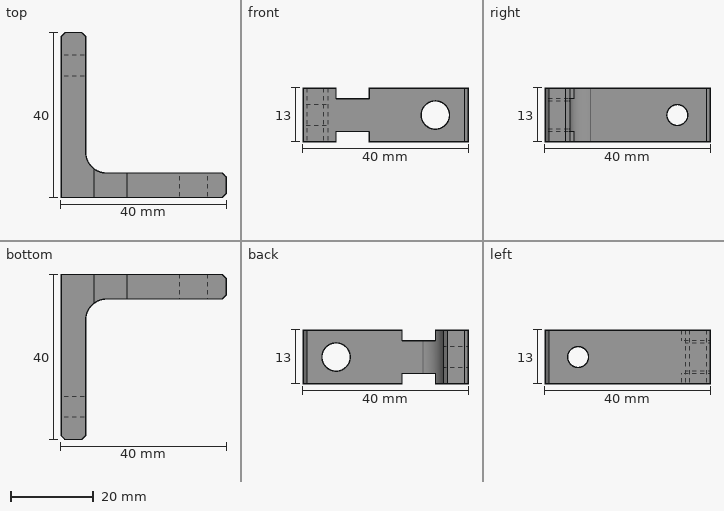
import cadquery as cq

leg_length = 40.0
leg_thickness = 6.0
height = 13.0
inner_radius = 5.0
end_chamfer = 1.0

waist_start = 8.0
waist_length = 8.0
waist_height = 8.0

hole_position = 0.8 * leg_length
x_leg_hole_diameter = 6.8
y_leg_hole_diameter = 5.0

mid_height = height / 2


def make_angle():
    """L-shaped body with its outer corner on the Z axis."""
    body = (
        cq.Workplane("XY")
        .polyline([
            (0, 0),
            (leg_length, 0),
            (leg_length, leg_thickness),
            (leg_thickness, leg_thickness),
            (leg_thickness, leg_length),
            (0, leg_length),
        ])
        .close()
        .extrude(height)
    )
    inner_corner = cq.selectors.NearestToPointSelector((leg_thickness, leg_thickness, mid_height))
    body = body.edges("|Z").edges(inner_corner).fillet(inner_radius)
    for end_face in (">X", ">Y"):
        body = body.faces(end_face).edges("|Z").chamfer(end_chamfer)
    return body


def make_waist_notches():
    """Matching blocks above and below the waist, wide enough to clear the inner fillet."""
    notch_depth = (height - waist_height) / 2
    notch_width = leg_thickness + inner_radius
    lower = cq.Workplane("XY").box(waist_length, notch_width, notch_depth, centered=False)
    lower = lower.translate((waist_start, 0, 0))
    upper = lower.translate((0, 0, height - notch_depth))
    return lower.union(upper)


def make_hole_pins():
    """Cylinders that pass through the X leg and the Y leg."""
    x_leg_pin = cq.Solid.makeCylinder(
        x_leg_hole_diameter / 2,
        leg_thickness,
        cq.Vector(hole_position, 0, mid_height),
        cq.Vector(0, 1, 0),
    )
    y_leg_pin = cq.Solid.makeCylinder(
        y_leg_hole_diameter / 2,
        leg_thickness,
        cq.Vector(0, hole_position, mid_height),
        cq.Vector(1, 0, 0),
    )
    return cq.Workplane(x_leg_pin).add(y_leg_pin).combine()


result = make_angle().cut(make_waist_notches()).cut(make_hole_pins())